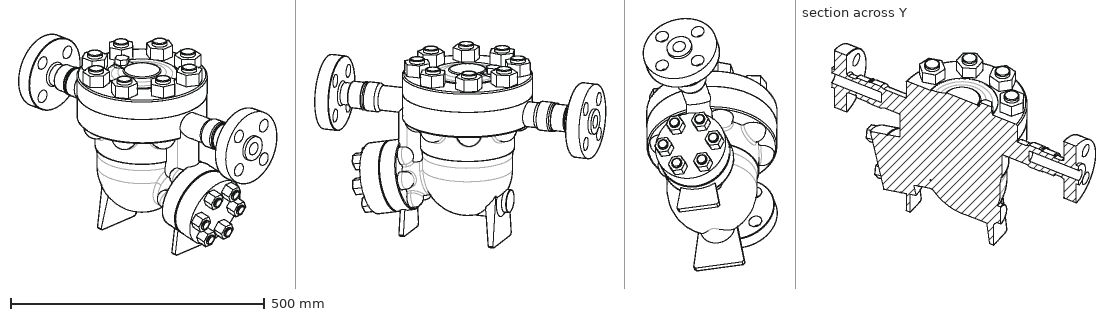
import cadquery as cq
import math


body_flange_dia = 257.0
cover_dia = 258.0
cover_top_z = 339.0
cover_edge_chamfer = 3.0
joint_z = 298.5
body_flange_bottom_z = 245.5
body_flange_chamfer = 3.0
neck_dia = 186.0
neck_bottom_z = 186.0
cone_top_dia = 183.0
cone_bottom_z = 171.0
barrel_dia = 178.5
barrel_bottom_z = 143.0
bowl_bottom_z = 50.0

crown_top_z = 349.5
crown_dia = 70.0
crown_foot_dia = 75.0
crown_foot_z = 347.0
dish_inner_dia = 96.0
dish_inner_z = 344.5
dish_outer_dia = 121.0
rim_dia = 142.5
rim_top_z = 341.5

vent_x = -54.5
vent_pad_dia = 31.0
vent_pad_top_z = 348.0
vent_hex_corners = 28.5
vent_hex_top_z = 359.0

main_bolt_count = 8
main_bolt_circle_r = 99.5
main_first_angle = 180 / main_bolt_count
main_nut_flats = 46.0
main_nut_height = 24.5
main_stud_dia = 30.0
main_stud_top_z = 371.0
main_boss_dia = 50.0
main_boss_fillet = 4.5
stud_chamfer = 2.0

pipe_z = 269.5
inlet_face_x = -270.5
overall_length = 572.0
pipe_mid_x = inlet_face_x + overall_length / 2
raised_face_dia = 50.0
raised_face_height = 6.5
pipe_flange_dia = 149.0
pipe_flange_thickness = 29.0
pipe_flange_chamfer = 1.0
pipe_hub_dia = 50.0
pipe_neck_dia = 44.0
socket_dia = 53.0
collar_dia = 58.0
pipe_dia = 50.0
hub_end_x = -230.5
socket_start_x = -214.0
socket_end_x = -186.0
collar_start_x = -178.5
collar_end_x = -156.0
collar_taper_end_x = -149.5
weld_bead_end_x = -182.0
weld_bead_dia = 57.0
weld_valley_dia = 55.5
socket_chamfer = 2.0
bore_dia = 25.0
bore_depth = 114.5
pipe_hole_count = 4
pipe_hole_dia = 26.0
pipe_hole_circle_r = 51.0

duct_width = 50.5
duct_outer_x = 144.0
duct_bottom_z = 149.0

side_tilt = 13.0
side_face_x = 197.0
side_face_z = 101.0
side_flange_dia = 142.0
side_cover_thickness = 40.5
side_groove_width = 2.0
side_groove_depth = 2.0
side_flange_back = 78.0
side_flange_edge_chamfer = 2.0
side_neck_dia = 83.0
side_neck_drop = 4.5
side_neck_fillet = 10.5
side_neck_back = 160.0
side_bolt_count = 6
side_bolt_circle_r = 51.0
side_first_angle = 180 / side_bolt_count
side_nut_flats = 30.0
side_nut_height = 20.5
side_stud_dia = 20.0
side_stud_height = 24.5
side_boss_dia = 35.5
side_boss_fillet = 3.5
side_boss_center_back = 86.5

foot_thickness = 10.0
inlet_foot_x = -73.0
inlet_foot_top_thickness = 24.0
inlet_foot_top_z = 108.5
outlet_foot_x = 119.5
outlet_foot_top_z = 80.0
inlet_foot_width = 102.0
outlet_foot_width = 84.5
foot_lean = 8.5
foot_corner_chamfer = 4.0

drain_z = 85.0
drain_boss_dia = 70.0
drain_face_x = -90.5
drain_plug_face_dia = 44.0
drain_plug_dia = 46.0
drain_flare_start_x = -80.5
drain_flare_dia = 64.0
drain_inner_x = -60.0


def hex_prism(across_flats, height):
    return cq.Workplane("XY").polygon(6, across_flats / math.cos(math.pi / 6)).extrude(height)


def stud(dia, length):
    return cq.Workplane("XY").circle(dia / 2).extrude(length).faces(">Z").chamfer(stud_chamfer)


def around_z(shape, first_angle, count):
    """Union of copies of a shape spaced evenly about the Z axis."""
    copies = cq.Workplane("XY")
    for i in range(count):
        copies = copies.union(shape.rotate((0, 0, 0), (0, 0, 1), first_angle + i * 360 / count))
    return copies


def make_body():
    outline = (
        cq.Workplane("XZ")
        .moveTo(0, joint_z)
        .lineTo(body_flange_dia / 2, joint_z)
        .lineTo(body_flange_dia / 2, body_flange_bottom_z + body_flange_chamfer)
        .lineTo(body_flange_dia / 2 - body_flange_chamfer, body_flange_bottom_z)
        .lineTo(neck_dia / 2, body_flange_bottom_z)
        .lineTo(neck_dia / 2, neck_bottom_z)
        .lineTo(cone_top_dia / 2, neck_bottom_z)
        .lineTo(barrel_dia / 2, cone_bottom_z)
        .lineTo(barrel_dia / 2, barrel_bottom_z)
        .lineTo(0, barrel_bottom_z)
        .close()
    )
    shell = outline.revolve(360, (0, 0), (0, 1))
    bowl_depth = barrel_bottom_z - bowl_bottom_z
    bowl = (
        cq.Workplane("XZ", origin=(0, 0, barrel_bottom_z))
        .ellipseArc(barrel_dia / 2, bowl_depth, 270, 360, startAtCurrent=False)
        .lineTo(0, 0)
        .close()
        .revolve(360, (0, 0), (0, 1))
    )
    return shell.union(bowl)


def make_cover():
    disc = (
        cq.Workplane("XY", origin=(0, 0, joint_z))
        .circle(cover_dia / 2)
        .extrude(cover_top_z - joint_z)
        .faces(">Z")
        .chamfer(cover_edge_chamfer)
    )
    crown = (
        cq.Workplane("XZ")
        .moveTo(0, joint_z)
        .lineTo(rim_dia / 2, joint_z)
        .lineTo(rim_dia / 2, rim_top_z)
        .lineTo(dish_outer_dia / 2, rim_top_z)
        .lineTo(dish_inner_dia / 2, dish_inner_z)
        .lineTo(crown_foot_dia / 2, crown_foot_z)
        .lineTo(crown_dia / 2, crown_top_z)
        .lineTo(0, crown_top_z)
        .close()
        .revolve(360, (0, 0), (0, 1))
    )
    pad_height = vent_pad_top_z - joint_z
    pad = (
        cq.Workplane("XY", origin=(vent_x / 2, 0, joint_z))
        .slot2D(vent_pad_dia - vent_x, vent_pad_dia)
        .extrude(pad_height)
    )
    vent = (
        cq.Workplane("XY", origin=(vent_x, 0, joint_z))
        .polygon(6, vent_hex_corners)
        .extrude(vent_hex_top_z - joint_z)
    )
    return disc.union(crown).union(pad).union(vent)


def make_main_fasteners():
    """Nuts and stud ends on the cover."""
    nut = hex_prism(main_nut_flats, main_nut_height).rotate((0, 0, 0), (0, 0, 1), -main_first_angle)
    fastener = nut.union(stud(main_stud_dia, main_stud_top_z - cover_top_z))
    fastener = fastener.translate((main_bolt_circle_r, 0, cover_top_z))
    return around_z(fastener, main_first_angle, main_bolt_count)


def add_main_bosses(body):
    """Rounded bosses under the body flange, blended into the neck."""
    boss = cq.Workplane("XY").sphere(main_boss_dia / 2)
    boss = boss.translate((main_bolt_circle_r, 0, body_flange_bottom_z))
    bossed = body.union(around_z(boss, main_first_angle, main_bolt_count))
    return bossed.edges("%BSPLINE").fillet(main_boss_fillet)


def make_pipe_connection():
    """Inlet flange, weld neck, collar and pipe up to the body axis."""
    flange_front_x = inlet_face_x + raised_face_height
    flange_back_x = flange_front_x + pipe_flange_thickness
    profile = [
        (inlet_face_x, raised_face_dia),
        (flange_front_x, raised_face_dia),
        (flange_front_x, pipe_flange_dia),
        (flange_back_x - pipe_flange_chamfer, pipe_flange_dia),
        (flange_back_x, pipe_flange_dia - 2 * pipe_flange_chamfer),
        (flange_back_x, pipe_hub_dia),
        (hub_end_x, pipe_neck_dia),
        (socket_start_x, pipe_neck_dia),
        (socket_start_x, socket_dia - 2 * socket_chamfer),
        (socket_start_x + socket_chamfer, socket_dia),
        (socket_end_x, socket_dia),
        (socket_end_x, weld_bead_dia),
        (weld_bead_end_x, weld_valley_dia),
        (collar_start_x, collar_dia),
        (collar_end_x, collar_dia),
        (collar_taper_end_x, pipe_dia),
        (0, pipe_dia),
    ]
    outline = cq.Workplane("XZ", origin=(0, 0, pipe_z)).moveTo(inlet_face_x, 0)
    for x, dia in profile:
        outline = outline.lineTo(x, dia / 2)
    connection = outline.lineTo(0, 0).close().revolve(360, (0, 0), (1, 0))
    face = cq.Workplane("YZ", origin=(inlet_face_x, 0, pipe_z))
    holes = (
        face.polarArray(pipe_hole_circle_r, 180 / pipe_hole_count, 360, pipe_hole_count)
        .circle(pipe_hole_dia / 2)
        .extrude(raised_face_height + pipe_flange_thickness)
    )
    bore = face.circle(bore_dia / 2).extrude(bore_depth)
    return connection.cut(holes).cut(bore)


def make_duct():
    """Flat-sided duct with a round outer end, closed by a rounded elbow on the outlet pipe."""
    end_x = duct_outer_x - duct_width / 2
    duct = (
        cq.Workplane("XY", origin=(end_x / 2, 0, duct_bottom_z))
        .slot2D(end_x + duct_width, duct_width)
        .extrude(pipe_z - duct_bottom_z)
    )
    elbow = cq.Workplane("XY", origin=(end_x, 0, pipe_z)).sphere(duct_width / 2)
    return duct.union(elbow)


def make_side_cover():
    """Built along +Z with the outer face at z = 0, then tilted into place."""
    flange = (
        cq.Workplane("XY", origin=(0, 0, -side_flange_back))
        .circle(side_flange_dia / 2)
        .extrude(side_flange_back)
        .faces("<Z")
        .chamfer(side_flange_edge_chamfer)
    )
    groove = (
        cq.Workplane("XY", origin=(0, 0, -side_cover_thickness - side_groove_width))
        .circle(side_flange_dia / 2)
        .circle(side_flange_dia / 2 - side_groove_depth)
        .extrude(side_groove_width)
    )
    neck = (
        cq.Workplane("XY", origin=(side_neck_drop, 0, -side_neck_back))
        .circle(side_neck_dia / 2)
        .extrude(side_neck_back - side_cover_thickness)
    )
    boss_length = side_boss_center_back - side_cover_thickness
    boss = cq.Workplane("XY").circle(side_boss_dia / 2).extrude(boss_length)
    boss = boss.union(cq.Workplane("XY").sphere(side_boss_dia / 2))
    boss = boss.translate((side_bolt_circle_r, 0, -side_boss_center_back))
    bosses = around_z(boss, side_first_angle, side_bolt_count)
    casting = flange.union(neck).union(bosses).edges("%BSPLINE").fillet(side_boss_fillet)
    fastener = hex_prism(side_nut_flats, side_nut_height).union(stud(side_stud_dia, side_stud_height))
    fastener = fastener.translate((side_bolt_circle_r, 0, 0))
    fasteners = around_z(fastener, side_first_angle, side_bolt_count)
    cover = casting.union(fasteners).cut(groove)
    cover = cover.rotate((0, 0, 0), (0, 1, 0), 90 + side_tilt)
    return cover.translate((side_face_x, 0, side_face_z))


def join_side_cover(body):
    """Body with the side cover attached, its neck blended into the barrel and bowl."""
    joined = body.union(make_side_cover())

    def joins_barrel(edge):
        center = edge.Center()
        return center.x < barrel_dia / 2 and center.z < neck_bottom_z

    return joined.edges("%BSPLINE").filter(joins_barrel).fillet(side_neck_fillet)


def make_foot(outer_x, bottom_width, top_thickness, top_z):
    """Plate tapering upwards across Y, and thickening upwards away from its -X face."""
    depth_outline = [
        (outer_x, 0),
        (outer_x + foot_thickness, 0),
        (outer_x + top_thickness, top_z),
        (outer_x, top_z),
    ]
    plate = (
        cq.Workplane("XZ").polyline(depth_outline).close().extrude(bottom_width / 2, both=True)
    )
    half_bottom = bottom_width / 2
    half_top = half_bottom - top_z * math.tan(math.radians(foot_lean))
    front_outline = [
        (-half_bottom + foot_corner_chamfer, 0),
        (half_bottom - foot_corner_chamfer, 0),
        (half_bottom, foot_corner_chamfer),
        (half_top, top_z),
        (-half_top, top_z),
        (-half_bottom, foot_corner_chamfer),
    ]
    width = (
        cq.Workplane("YZ", origin=(outer_x, 0, 0)).polyline(front_outline).close().extrude(top_thickness)
    )
    return plate.intersect(width)


def make_drain():
    profile = [
        (drain_face_x, drain_plug_face_dia),
        (drain_face_x + (drain_plug_dia - drain_plug_face_dia) / 2, drain_plug_dia),
        (drain_flare_start_x, drain_plug_dia),
        (inlet_foot_x, drain_flare_dia),
        (drain_inner_x, drain_flare_dia),
        (drain_inner_x, drain_boss_dia),
        (0, drain_boss_dia),
    ]
    outline = cq.Workplane("XZ", origin=(0, 0, drain_z)).moveTo(drain_face_x, 0)
    for x, dia in profile:
        outline = outline.lineTo(x, dia / 2)
    return outline.lineTo(0, 0).close().revolve(360, (0, 0), (1, 0))


inlet = make_pipe_connection()
outlet = inlet.mirror("YZ", (pipe_mid_x, 0, 0))

result = (
    join_side_cover(add_main_bosses(make_body()))
    .union(make_cover())
    .union(make_main_fasteners())
    .union(inlet)
    .union(outlet)
    .union(make_duct())
    .union(make_foot(inlet_foot_x, inlet_foot_width, inlet_foot_top_thickness, inlet_foot_top_z))
    .union(make_foot(outlet_foot_x, outlet_foot_width, foot_thickness, outlet_foot_top_z))
    .union(make_drain())
)